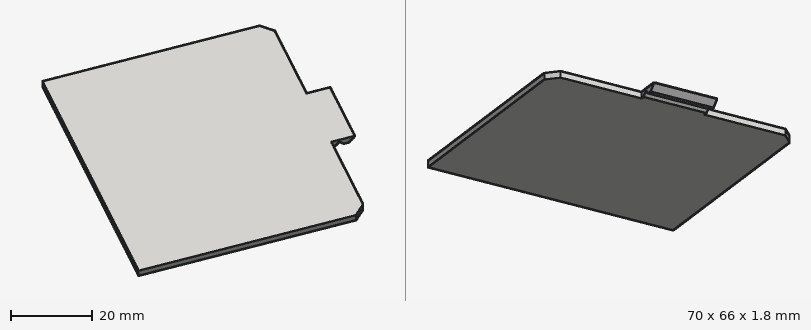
import cadquery as cq

width = 70.0
overall_depth = 66.0
thickness = 1.8
corner_chamfer = 2.95

tab_width = 18.0
tab_length = 6.15
tip_lip = 0.15
notch_depth = 1.1
notch_from_plate = 2.1

plate_depth = overall_depth - tab_length


def make_plate():
    """Flat plate with its two back corners cut at 45 degrees."""
    plate = cq.Workplane("XY").box(width, plate_depth, thickness, centered=(True, False, False))
    return plate.edges("|Z and >Y").chamfer(corner_chamfer)


def make_tab():
    """Tab with a 45 degree sloped tip and a V-notch across its underside."""
    tip_slope = thickness - tip_lip
    notch_center = plate_depth + notch_from_plate
    profile = [
        (plate_depth, 0),
        (notch_center - notch_depth, 0),
        (notch_center, notch_depth),
        (notch_center + notch_depth, 0),
        (overall_depth - tip_slope, 0),
        (overall_depth, tip_slope),
        (overall_depth, thickness),
        (plate_depth, thickness),
    ]
    tab = cq.Workplane("YZ").polyline(profile).close()
    return tab.extrude(tab_width / 2, both=True)


result = make_plate().union(make_tab())